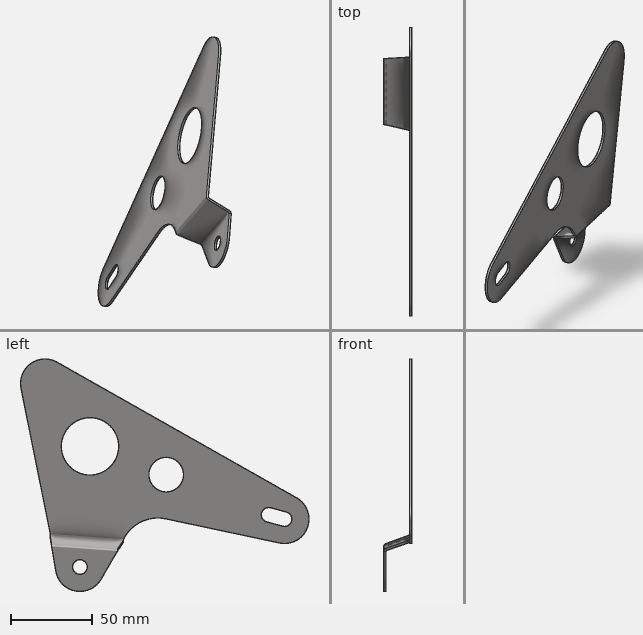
import cadquery as cq
import math

thickness = 1.5
overall_depth = 17.3
overall_length = 176.8
overall_height = 142.5
lobe_radius = 15.0

top_lobe = (-lobe_radius, overall_height - lobe_radius)
slot_lobe = (lobe_radius - overall_length, 44.4)
tab_lobe = (-36.5, lobe_radius)

large_hole = (-42.6, 89.0)
large_hole_diameter = 35.0
small_hole = (-89.3, 71.6)
small_hole_diameter = 21.0
tab_hole_diameter = 8.8
slot_width = 8.8
slot_travel = 10.0
slot_angle = math.radians(15)

arm_edge_angle = math.radians(12)
throat_radius = 23.5

bend_corner = (-18.2, 35.2)
bend_line_tilt = math.radians(4)
plate_bend_width = 45.0
tab_bend_start = 1.5
tab_bend_end = 41.7
web_slope = math.radians(20)
inner_bend_radius = 0.7
outer_bend_radius = inner_bend_radius + thickness
tab_face_x = thickness - overall_depth


def polar(centre, radius, angle):
    return (centre[0] + radius * math.cos(angle), centre[1] + radius * math.sin(angle))


def tangent_angle(centre, point, side):
    """Angle on a lobe where the line from an outside point touches it; side is +1 or -1."""
    dy = point[0] - centre[0]
    dz = point[1] - centre[1]
    return math.atan2(dz, dy) + side * math.acos(lobe_radius / math.hypot(dy, dz))


def along_bend(distance, rise):
    """(Y, Z) of a point at a distance along the bend line and a rise square to it."""
    return (
        bend_corner[0] - distance * math.cos(bend_line_tilt) - rise * math.sin(bend_line_tilt),
        bend_corner[1] - distance * math.sin(bend_line_tilt) + rise * math.cos(bend_line_tilt),
    )


plate_bend = (-inner_bend_radius, 0)
bend_angle = math.pi / 2 - web_slope
middle_radius = inner_bend_radius + thickness / 2
bend_run = plate_bend[0] - (tab_face_x + outer_bend_radius)
web_length = (bend_run + 2 * middle_radius * math.cos(bend_angle)) / math.cos(web_slope)
bend_drop = 2 * middle_radius * math.sin(bend_angle) + web_length * math.sin(web_slope)
tab_bend = (tab_face_x + outer_bend_radius, -bend_drop)


def make_plate():
    far_corner = along_bend(plate_bend_width, 0)
    left_angle = tangent_angle(top_lobe, bend_corner, 1)
    long_edge_angle = math.atan2(top_lobe[1] - slot_lobe[1], top_lobe[0] - slot_lobe[0]) + math.pi / 2
    arm_normal = arm_edge_angle - math.pi / 2
    arm_start = polar(slot_lobe, lobe_radius, arm_normal)

    edge_y, edge_z = math.cos(arm_edge_angle), math.sin(arm_edge_angle)
    dy = far_corner[0] - slot_lobe[0]
    dz = far_corner[1] - slot_lobe[1]
    depth = dy * math.cos(arm_normal) + dz * math.sin(arm_normal) - lobe_radius
    reach = dy * edge_y + dz * edge_z
    touch_distance = reach - math.sqrt(throat_radius**2 - (throat_radius - depth) ** 2)
    throat_start = polar(arm_start, touch_distance, arm_edge_angle)
    throat_centre = polar(throat_start, throat_radius, arm_normal)
    end_angle = math.atan2(far_corner[1] - throat_centre[1], far_corner[0] - throat_centre[0])
    throat_middle = polar(throat_centre, throat_radius, (arm_normal + math.pi + end_angle) / 2)

    return (
        cq.Workplane("YZ")
        .moveTo(*bend_corner)
        .lineTo(*polar(top_lobe, lobe_radius, left_angle))
        .threePointArc(
            polar(top_lobe, lobe_radius, (left_angle + long_edge_angle) / 2),
            polar(top_lobe, lobe_radius, long_edge_angle),
        )
        .lineTo(*polar(slot_lobe, lobe_radius, long_edge_angle))
        .threePointArc(
            polar(slot_lobe, lobe_radius, (long_edge_angle + arm_normal) / 2 + math.pi),
            arm_start,
        )
        .lineTo(*throat_start)
        .threePointArc(throat_middle, far_corner)
        .close()
        .extrude(thickness)
    )


def make_tab():
    near_corner = along_bend(tab_bend_start, -bend_drop)
    far_corner = along_bend(tab_bend_end, -bend_drop)
    near_angle = tangent_angle(tab_lobe, near_corner, -1)
    far_angle = tangent_angle(tab_lobe, far_corner, 1)
    return (
        cq.Workplane("YZ", origin=(tab_face_x, 0, 0))
        .moveTo(*near_corner)
        .lineTo(*polar(tab_lobe, lobe_radius, near_angle))
        .threePointArc(
            (tab_lobe[0], tab_lobe[1] - lobe_radius),
            polar(tab_lobe, lobe_radius, far_angle),
        )
        .lineTo(*far_corner)
        .close()
        .extrude(thickness)
    )


def make_web():
    """Both bends and the sloping web, with ends cut square to the web surface."""
    tilt_cos, tilt_sin = math.cos(bend_line_tilt), math.sin(bend_line_tilt)
    slope_cos, slope_sin = math.cos(web_slope), math.sin(web_slope)
    origin = (0, *bend_corner)
    bend_direction = cq.Vector(0, -tilt_cos, -tilt_sin)
    rise_direction = cq.Vector(0, -tilt_sin, tilt_cos)
    web_normal = cq.Vector(-slope_sin, 0, 0) + rise_direction * slope_cos

    def plate_arc(radius, share):
        return polar(plate_bend, radius, -bend_angle * share)

    def tab_arc(radius, share):
        return polar(tab_bend, radius, math.pi - bend_angle * share)

    strip = (
        cq.Workplane(cq.Plane(origin, xDir=(1, 0, 0), normal=bend_direction))
        .moveTo(*plate_arc(inner_bend_radius, 0))
        .threePointArc(plate_arc(inner_bend_radius, 0.5), plate_arc(inner_bend_radius, 1))
        .lineTo(*tab_arc(outer_bend_radius, 1))
        .threePointArc(tab_arc(outer_bend_radius, 0.5), tab_arc(outer_bend_radius, 0))
        .lineTo(*tab_arc(inner_bend_radius, 0))
        .threePointArc(tab_arc(inner_bend_radius, 0.5), tab_arc(inner_bend_radius, 1))
        .lineTo(*plate_arc(outer_bend_radius, 1))
        .threePointArc(plate_arc(outer_bend_radius, 0.5), plate_arc(outer_bend_radius, 0))
        .close()
        .extrude(plate_bend_width)
    )

    tab_level = tab_face_x * slope_cos - bend_drop * slope_sin
    margin = 2 * thickness
    taper = (
        cq.Workplane(cq.Plane(origin, xDir=bend_direction, normal=web_normal))
        .polyline(
            [
                (0, margin),
                (0, 0),
                (tab_bend_start, tab_level),
                (tab_bend_start, tab_level - margin),
                (tab_bend_end, tab_level - margin),
                (tab_bend_end, tab_level),
                (plate_bend_width, 0),
                (plate_bend_width, margin),
            ]
        )
        .close()
        .extrude(overall_depth, both=True)
    )
    return strip.intersect(taper)


def through_cut(sketch_plane):
    return sketch_plane.extrude(overall_depth, both=True)


def make_openings():
    face = cq.Workplane("YZ")
    slot_centre = polar(slot_lobe, slot_travel / 2, slot_angle)
    slot = (
        face.center(*slot_centre)
        .transformed(rotate=(0, 0, math.degrees(slot_angle)))
        .slot2D(slot_travel + slot_width, slot_width)
    )
    openings = through_cut(slot)
    for centre, diameter in (
        (large_hole, large_hole_diameter),
        (small_hole, small_hole_diameter),
        (tab_lobe, tab_hole_diameter),
    ):
        openings = openings.union(through_cut(face.moveTo(*centre).circle(diameter / 2)))
    return openings


result = make_plate().union(make_web()).union(make_tab()).cut(make_openings())